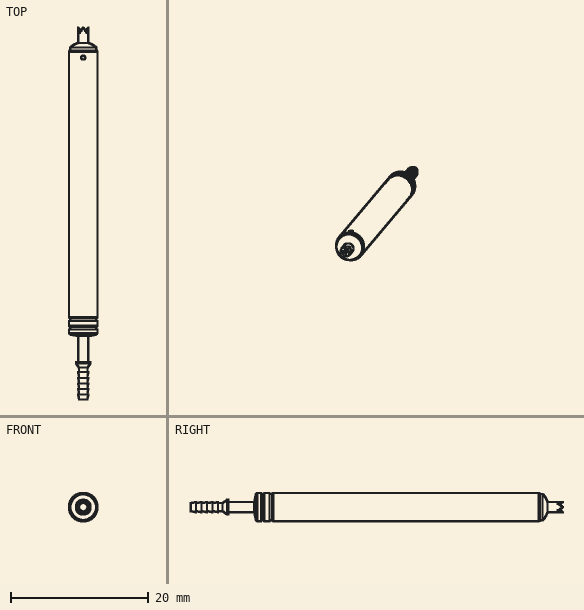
import cadquery as cq
import math

length = 54.2

sleeve_diameter = 4.2
sleeve_radius = sleeve_diameter / 2
sleeve_rear = 9.5
sleeve_rear_chamfer_length = 0.2
sleeve_rear_chamfer_height = 0.2
rear_apex = 9.2
groove_rears = (10.25, 11.5)
groove_width = 0.55
groove_depth = 0.15
groove_taper = 0.2

collar_front = 50.9
collar_chamfer_length = 0.25
collar_chamfer_height = 0.1
nose_step = 0.15
nose_radius = sleeve_radius - nose_step
dome_rear = 51.3
dome_apex = 52.1
dimple_diameter = 0.6
dimple_depth = 0.15
dimple_y = 49.8

rod_radius = 0.75
tooth_depth = 0.8

flange_front = 5.55
flange_rear = 5.3
flange_radius = 1.1
flange_cone_rear = 4.65
neck_diameter = 1.25
neck_radius = neck_diameter / 2
barb_count = 5
barb_pitch = 0.8
barb_length = 0.65
first_barb_front = 4.0
barb_radius = rod_radius


def cap_middle(rim_radius, rim_y, apex_y):
    """Mid-arc point between apex and rim of a spherical cap centred on the axis."""
    height = abs(apex_y - rim_y)
    sphere_radius = (rim_radius**2 + height**2) / (2 * height)
    half_angle = math.asin(rim_radius / sphere_radius) / 2
    sagitta = sphere_radius * (1 - math.cos(half_angle))
    return (
        sphere_radius * math.sin(half_angle),
        apex_y + math.copysign(sagitta, rim_y - apex_y),
    )


def make_sleeve():
    """Turned sleeve with two ring grooves, a chamfered rear edge and domed ends."""
    groove_radius = sleeve_radius - groove_depth
    rear_radius = sleeve_radius - sleeve_rear_chamfer_height
    rear_middle = cap_middle(rear_radius, sleeve_rear, rear_apex)
    profile = (
        cq.Workplane("XY")
        .moveTo(0, rear_apex)
        .threePointArc(rear_middle, (rear_radius, sleeve_rear))
        .lineTo(sleeve_radius, sleeve_rear + sleeve_rear_chamfer_length)
    )
    for rear in groove_rears:
        front = rear + groove_width
        profile = (
            profile.lineTo(sleeve_radius, rear)
            .lineTo(groove_radius, rear)
            .lineTo(groove_radius, front - groove_taper)
            .lineTo(sleeve_radius, front)
        )
    dome_middle = cap_middle(nose_radius, dome_rear, dome_apex)
    profile = (
        profile.lineTo(sleeve_radius, collar_front - collar_chamfer_length)
        .lineTo(sleeve_radius - collar_chamfer_height, collar_front)
        .lineTo(nose_radius, collar_front)
        .lineTo(nose_radius, dome_rear)
        .threePointArc(dome_middle, (0, dome_apex))
        .close()
    )
    return profile.revolve(360, (0, 0, 0), (0, 1, 0))


def make_dimple():
    """Shallow round dimple on top of the sleeve, just behind the nose."""
    return (
        cq.Workplane("XY", origin=(0, dimple_y, sleeve_radius - dimple_depth))
        .circle(dimple_diameter / 2)
        .extrude(2 * dimple_depth)
    )


def make_plunger():
    """Round rod whose tip is split into four teeth by two crossed V-cuts."""
    rod = (
        cq.Workplane("XZ", origin=(0, length, 0))
        .circle(rod_radius)
        .extrude(length - sleeve_rear)
    )
    half_opening = rod_radius * math.sin(math.radians(45))
    v_cut = (
        cq.Workplane("XY")
        .moveTo(0, length - tooth_depth)
        .lineTo(half_opening, length)
        .lineTo(-half_opening, length)
        .close()
        .extrude(2 * rod_radius, both=True)
    )
    for angle in (45, -45):
        rod = rod.cut(v_cut.rotate((0, 0, 0), (0, 1, 0), angle))
    return rod


def make_tail():
    """Turned tail: stem, flange with a cone behind it, then a row of barbs."""
    profile = (
        cq.Workplane("XY")
        .moveTo(0, sleeve_rear)
        .lineTo(rod_radius, sleeve_rear)
        .lineTo(rod_radius, flange_front)
        .lineTo(flange_radius, flange_front)
        .lineTo(flange_radius, flange_rear)
        .lineTo(neck_radius, flange_cone_rear)
    )
    for i in range(barb_count):
        barb_front = first_barb_front - i * barb_pitch
        profile = (
            profile.lineTo(neck_radius, barb_front)
            .lineTo(barb_radius, barb_front)
            .lineTo(neck_radius, barb_front - barb_length)
        )
    profile = profile.lineTo(neck_radius, 0).lineTo(0, 0).close()
    return profile.revolve(360, (0, 0, 0), (0, 1, 0))


result = make_sleeve().cut(make_dimple()).union(make_plunger()).union(make_tail())